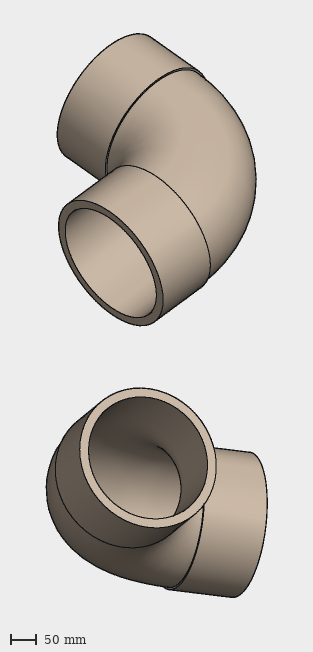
import cadquery as cq

overall_length = 462.5
socket_diameter = 287.0
bend_diameter = 278.5
bore_diameter = 250.0
socket_length = 132.5

bend_radius = overall_length - socket_length - socket_diameter / 2
bend_angle = 90


def bend(diameter):
    """Quarter torus from the +X axis round to the +Y axis."""
    return (
        cq.Workplane("XZ")
        .center(bend_radius, 0)
        .circle(diameter / 2)
        .revolve(bend_angle, (-bend_radius, 0), (-bend_radius, 1))
    )


def straight_ends(diameter):
    """Straight cylinders running in -X and -Y from the ends of the bend."""
    x_end = cq.Workplane("YZ").center(bend_radius, 0).circle(diameter / 2).extrude(-socket_length)
    y_end = cq.Workplane("XZ").center(bend_radius, 0).circle(diameter / 2).extrude(socket_length)
    return x_end.union(y_end)


body = straight_ends(socket_diameter).union(bend(bend_diameter))
bore = straight_ends(bore_diameter).union(bend(bore_diameter))
result = body.cut(bore)